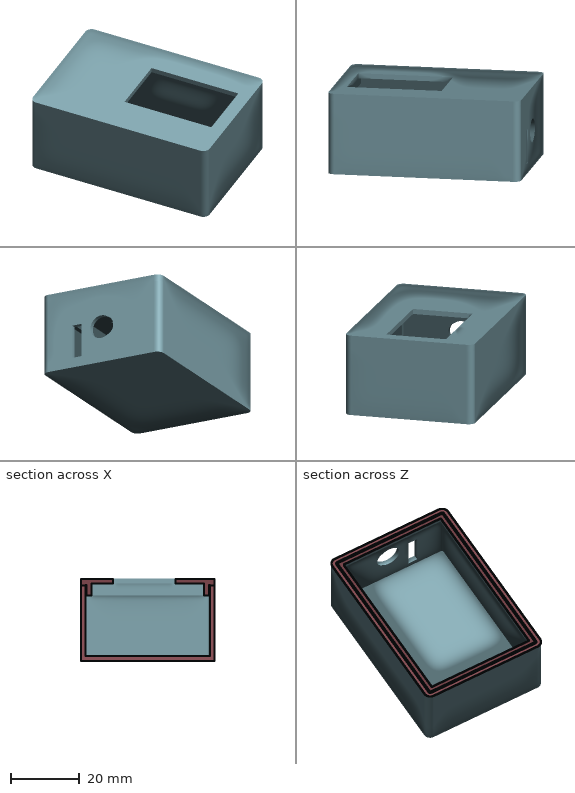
import cadquery as cq

LENGTH = 57.0
WIDTH = 39.0
HEIGHT = 24.0
WALL = 1.5
CORNER_RADIUS = 2.0
LID_HEIGHT = 2.0
BOX_HEIGHT = HEIGHT - LID_HEIGHT

CAVITY_LENGTH = LENGTH - 2 * WALL
CAVITY_WIDTH = WIDTH - 2 * WALL
CAVITY_RADIUS = CORNER_RADIUS - WALL

LIP_CLEARANCE = 0.2
LIP_DEPTH = 3.0
LIP_BOTTOM = BOX_HEIGHT - LIP_DEPTH
LIP_LENGTH = CAVITY_LENGTH - 2 * LIP_CLEARANCE
LIP_WIDTH = CAVITY_WIDTH - 2 * LIP_CLEARANCE
LIP_RADIUS = CAVITY_RADIUS - LIP_CLEARANCE
HOLLOW_LENGTH = LIP_LENGTH - 2 * WALL
HOLLOW_WIDTH = LIP_WIDTH - 2 * WALL
HOLLOW_HEIGHT = HEIGHT - WALL - LIP_BOTTOM

WINDOW_LENGTH = 28.0
WINDOW_WIDTH = 18.0
WINDOW_TO_RIGHT_SIDE = 4.05
WINDOW_TO_BACK_SIDE = 9.45
WINDOW_X = LENGTH / 2 - WINDOW_TO_RIGHT_SIDE - WINDOW_LENGTH / 2
WINDOW_Y = WIDTH / 2 - WINDOW_TO_BACK_SIDE - WINDOW_WIDTH / 2

SLOT_WIDTH = 3.0
SLOT_HEIGHT = 10.0
SLOT_BOTTOM = 3.0
SLOT_TO_BACK_SIDE = 10.0
SLOT_Y = WIDTH / 2 - SLOT_TO_BACK_SIDE - SLOT_WIDTH / 2
SLOT_Z = SLOT_BOTTOM + SLOT_HEIGHT / 2

PORT_Z = 11.0
PORT_MAIN_RADIUS = 3.5
PORT_SIDE_RADIUS = 3.0
PORT_SIDE_OFFSET = 1.0


def rounded_block(length, width, height, radius, bottom):
    """Block with rounded vertical edges, standing on the given level."""
    block = cq.Workplane("XY").workplane(offset=bottom).rect(length, width).extrude(height)
    return block.edges("|Z").fillet(radius)


def left_wall_sketch(y, z):
    """Sketch plane on the outer -X face, with its normal pointing into the wall."""
    return cq.Workplane("YZ", origin=(-LENGTH / 2, y, z))


def make_box():
    box = rounded_block(LENGTH, WIDTH, BOX_HEIGHT, CORNER_RADIUS, 0)
    cavity = rounded_block(CAVITY_LENGTH, CAVITY_WIDTH, BOX_HEIGHT - WALL, CAVITY_RADIUS, WALL)
    slot = left_wall_sketch(SLOT_Y, SLOT_Z).rect(SLOT_WIDTH, SLOT_HEIGHT).extrude(WALL)
    port_main = left_wall_sketch(0, PORT_Z).circle(PORT_MAIN_RADIUS).extrude(WALL)
    port_side = left_wall_sketch(-PORT_SIDE_OFFSET, PORT_Z).circle(PORT_SIDE_RADIUS).extrude(WALL)
    return box.cut(cavity).cut(slot).cut(port_main).cut(port_side)


def make_lid():
    cap = rounded_block(LENGTH, WIDTH, LID_HEIGHT, CORNER_RADIUS, BOX_HEIGHT)
    lip = rounded_block(LIP_LENGTH, LIP_WIDTH, LIP_DEPTH, LIP_RADIUS, LIP_BOTTOM)
    hollow = cq.Workplane("XY", origin=(0, 0, LIP_BOTTOM))
    hollow = hollow.rect(HOLLOW_LENGTH, HOLLOW_WIDTH).extrude(HOLLOW_HEIGHT)
    window = (
        cq.Workplane("XY", origin=(WINDOW_X, WINDOW_Y, BOX_HEIGHT))
        .rect(WINDOW_LENGTH, WINDOW_WIDTH)
        .extrude(LID_HEIGHT)
    )
    return cap.union(lip).cut(hollow).cut(window)


box = make_box()
lid = make_lid()

result = cq.Compound.makeCompound([box.val(), lid.val()])